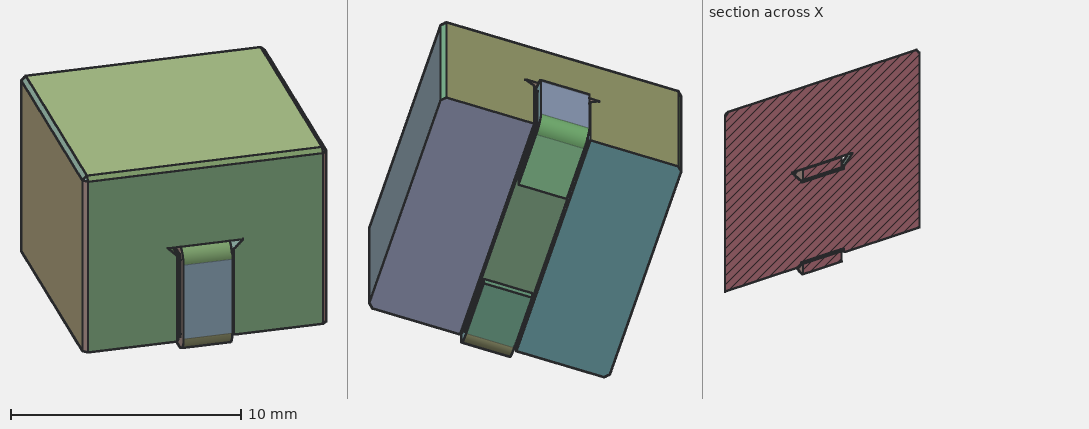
import cadquery as cq

overall_length = 11.3
overall_height = 8.9
body_width = 11.0
edge_chamfer = 0.2

strap_width = 2.2
strap_thickness = 0.5
strap_top = 5.0
strap_outer_radius = 0.7
strap_inner_radius = strap_outer_radius - strap_thickness
pad_length = 3.2
standoff = 0.41

neck_length = overall_length - 2 * strap_thickness
neck_height = strap_top - 2 * strap_thickness
neck_chamfer = 0.2

groove_floor_width = 2.4
groove_depth = strap_thickness - standoff

body_length = overall_length - 2 * standoff
body_height = overall_height - standoff


def make_body():
    """Block with chamfered top and vertical edges and a sharp underside."""
    block = cq.Workplane("XY").workplane(offset=standoff)
    block = block.rect(body_length, body_width).extrude(body_height)
    return block.edges("|Z or >Z").chamfer(edge_chamfer)


def groove_section(plane, floor, mouth):
    """Groove section, with the width along local x and the depth along local y."""
    half_floor = groove_floor_width / 2
    half_mouth = half_floor + abs(mouth - floor)
    points = [(-half_floor, floor), (half_floor, floor), (half_mouth, mouth), (-half_mouth, mouth)]
    return cq.Workplane(plane).polyline(points).close()


def bar_across(width, length, height):
    """Square-edged bar across Y, centred on the strap loop."""
    return cq.Workplane("XY").box(length, width, height).translate((0, 0, strap_top / 2))


def cut_strap_grooves(body):
    """Cut the tunnel above the neck and the grooves around its ends and underside."""
    neck_bottom = strap_thickness
    neck_top = strap_top - strap_thickness

    body = body.cut(groove_section("YZ", neck_top, strap_top).extrude(body_length / 2, both=True))
    body = body.cut(groove_section("YZ", neck_bottom, standoff).extrude(body_length / 2, both=True))
    for side in (-1, 1):
        end_plane = cq.Plane(origin=(0, 0, 0), xDir=(0, side, 0), normal=(0, 0, 1))
        floor = -neck_length / 2
        body = body.cut(groove_section(end_plane, floor, floor - groove_depth).extrude(strap_top))

    square_neck = bar_across(groove_floor_width, neck_length, neck_height)
    chamfered_neck = square_neck.edges("|Y").chamfer(neck_chamfer)
    return body.cut(square_neck.cut(chamfered_neck))


def make_strap():
    """Strap loop around the neck, left open underneath between the two pads."""
    outside = bar_across(strap_width, overall_length, strap_top)
    outside = outside.edges("|Y").fillet(strap_outer_radius)
    inside = bar_across(strap_width, neck_length, neck_height)
    inside = inside.edges("|Y").fillet(strap_inner_radius)
    pad_gap = cq.Workplane("XY").box(
        overall_length - 2 * pad_length, strap_width, strap_thickness, centered=(True, True, False)
    )
    return outside.cut(inside).cut(pad_gap)


result = cut_strap_grooves(make_body()).union(make_strap())